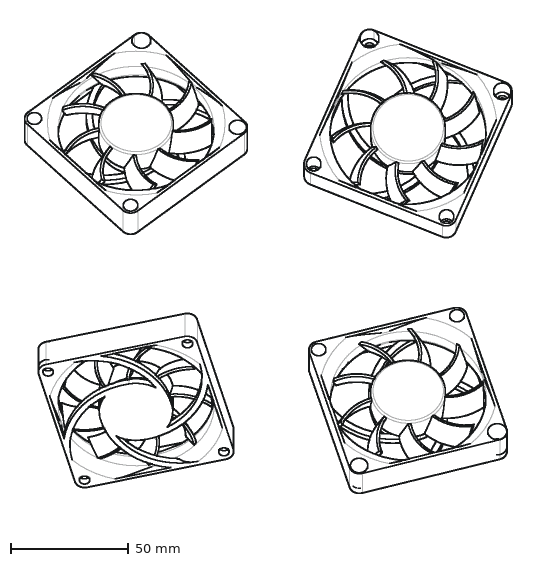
import cadquery as cq
import math

side = 70.0
height = 15.5
corner_radius = 4.4

duct_radius = 33.3
flare_round = 4.6
flare_limit = 66.9

hole_spacing = 61.5
hole_diameter = 4.4
counterbore_floor = 3.5
counterbores = [
    (-1, 1, 8.1),
    (1, 1, 7.4),
    (-1, -1, 6.2),
    (1, -1, 6.2),
]

base_radius = 15.75
base_thickness = 3.1
strut_count = 4
strut_width = 2.7
strut_outer_radius = 34.8
strut_arc_offset = strut_outer_radius - base_radius
strut_direction = 93.0

hub_radius = 15.95
hub_bottom = 3.65
hub_fillet = 0.9

blade_count = 9
blade_tip_radius = 32.5
blade_thickness = 1.25
blade_top = 14.2
blade_bottom = 3.8
blade_top_bend = 21.2
blade_bottom_bend = 25.1
blade_axis_offset = 24.85
blade_direction = 12.0
blade_root_angle = 15.0
blade_bend_angle = 100.0


def disc(radius, bottom, top):
    return cq.Workplane("XY").workplane(offset=bottom).circle(radius).extrude(top - bottom)


def flare():
    """Cutter for the lower bell mouth, narrowing upwards from the bottom face."""
    bowl = (
        cq.Workplane("XZ")
        .lineTo(duct_radius + flare_round, 0)
        .radiusArc((duct_radius, flare_round), flare_round)
        .lineTo(0, flare_round)
        .close()
        .revolve(360, (0, 0, 0), (0, 1, 0))
    )
    limit = cq.Workplane("XY").rect(flare_limit, flare_limit).extrude(flare_round)
    return bowl.intersect(limit)


def strut(direction):
    """Flat curved bar from the motor base out to the housing wall."""
    ring = (
        cq.Workplane("XY")
        .center(strut_arc_offset, 0)
        .circle(strut_outer_radius)
        .circle(strut_outer_radius - strut_width)
        .extrude(base_thickness)
    )
    one_side = cq.Workplane("XY").rect(2 * side, side).extrude(base_thickness).translate((0, side / 2, 0))
    bar = ring.intersect(one_side)
    bar = bar.rotate((0, 0, 0), (0, 0, 1), direction)
    limit = cq.Workplane("XY").rect(flare_limit, flare_limit).extrude(base_thickness)
    return bar.intersect(disc(duct_radius + flare_round, 0, base_thickness)).intersect(limit)


def make_frame():
    block = cq.Workplane("XY").rect(side, side).extrude(height).edges("|Z").fillet(corner_radius)
    lower_flare = flare()
    upper_flare = lower_flare.mirror("XY").translate((0, 0, height))
    frame = block.cut(disc(duct_radius, 0, height)).cut(lower_flare).cut(upper_flare)

    for x_side, y_side, diameter in counterbores:
        place = (x_side * hole_spacing / 2, y_side * hole_spacing / 2, 0)
        frame = frame.cut(disc(hole_diameter / 2, 0, height).translate(place))
        frame = frame.cut(disc(diameter / 2, counterbore_floor, height).translate(place))

    frame = frame.union(disc(base_radius, 0, base_thickness))
    for i in range(strut_count):
        frame = frame.union(strut(strut_direction + i * 360 / strut_count))
    return frame


def blade(direction):
    run = blade_bottom_bend - blade_top_bend
    drop = blade_top - blade_bottom
    slope = math.hypot(run, drop)
    edge_run = blade_thickness * drop / slope
    edge_drop = blade_thickness * run / slope
    plate = (
        cq.Workplane("XZ")
        .polyline([
            (-blade_top_bend, blade_top),
            (-blade_bottom_bend, blade_bottom),
            (edge_run - blade_bottom_bend, blade_bottom - edge_drop),
            (edge_run - blade_top_bend, blade_top - edge_drop),
        ])
        .close()
        .revolve(blade_bend_angle, (0, 0, 0), (0, 1, 0))
        .rotate((0, 0, 0), (0, 0, 1), blade_root_angle)
        .translate((blade_axis_offset, 0, 0))
    )
    trimmed = plate.intersect(disc(blade_tip_radius, 0, height))
    return trimmed.rotate((0, 0, 0), (0, 0, 1), direction)


def make_rotor():
    rotor = disc(hub_radius, hub_bottom, height).faces(">Z").edges().fillet(hub_fillet)
    for i in range(blade_count):
        rotor = rotor.union(blade(blade_direction + i * 360 / blade_count))
    return rotor


frame = make_frame()
rotor = make_rotor()
result = cq.Compound.makeCompound([frame.val(), rotor.val()])